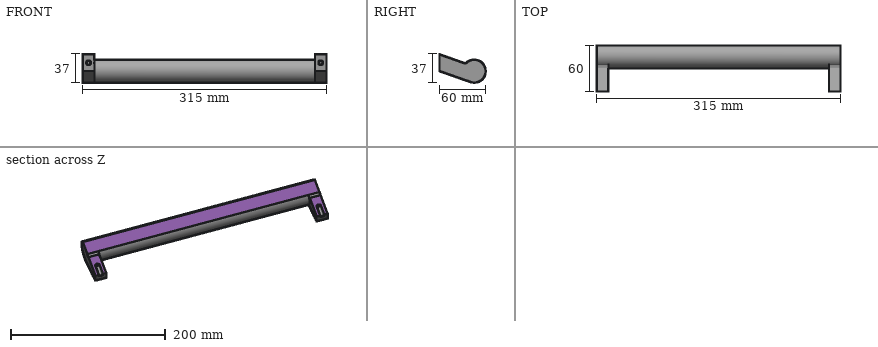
import cadquery as cq
import math

length = 315.0
bar_diameter = 30.0
depth = 60.0
height = 37.0
arm_width = 15.0
notch_fillet = 3.0
hole_diameter = 5.0
hole_mouth_diameter = 6.0
hole_depth = 15.8
drill_tip_angle = 118.0

bar_radius = bar_diameter / 2
mount_y = bar_radius - depth
mount_top = height - bar_radius
mount_bottom = 0.0

slope = math.asin(bar_radius / -mount_y)
tangent_y = -bar_radius * math.sin(slope)
tangent_z = -bar_radius * math.cos(slope)
inner_top = mount_top + mount_y * math.tan(slope)

face_offset = inner_top * math.cos(slope)
face_run = math.sqrt(bar_radius**2 - face_offset**2)
notch_y = -face_offset * math.sin(slope) - face_run * math.cos(slope)
notch_z = face_offset * math.cos(slope) - face_run * math.sin(slope)


def make_bar(bar_length):
    return cq.Workplane("YZ").circle(bar_radius).extrude(bar_length)


def make_hole():
    """Countersunk blind hole with a drill tip, revolved about its own axis."""
    radius = hole_diameter / 2
    mouth_radius = hole_mouth_diameter / 2
    mouth_depth = mouth_radius - radius
    tip_depth = hole_depth + radius / math.tan(math.radians(drill_tip_angle / 2))
    profile = [
        (0, 0),
        (mouth_radius, 0),
        (radius, mouth_depth),
        (radius, hole_depth),
        (0, tip_depth),
    ]
    hole = cq.Workplane("XY").polyline(profile).close().revolve(360, (0, 0), (0, 1))
    return hole.translate((arm_width / 2, mount_y, (mount_top + mount_bottom) / 2))


def make_arm():
    """End slice of the bar with its sloping arm, blended notch and mounting hole."""
    outline = [
        (mount_y, mount_bottom),
        (mount_y, mount_top),
        (0, inner_top),
        (0, 0),
        (tangent_y, tangent_z),
    ]
    arm = cq.Workplane("YZ").polyline(outline).close().extrude(arm_width)
    arm = arm.union(make_bar(arm_width))
    notch_point = (arm_width / 2, notch_y, notch_z)
    arm = arm.edges(cq.selectors.NearestToPointSelector(notch_point)).fillet(notch_fillet)
    return arm.cut(make_hole())


result = make_bar(length)
for arm_x in (0, length - arm_width):
    result = result.union(make_arm().translate((arm_x, 0, 0)))